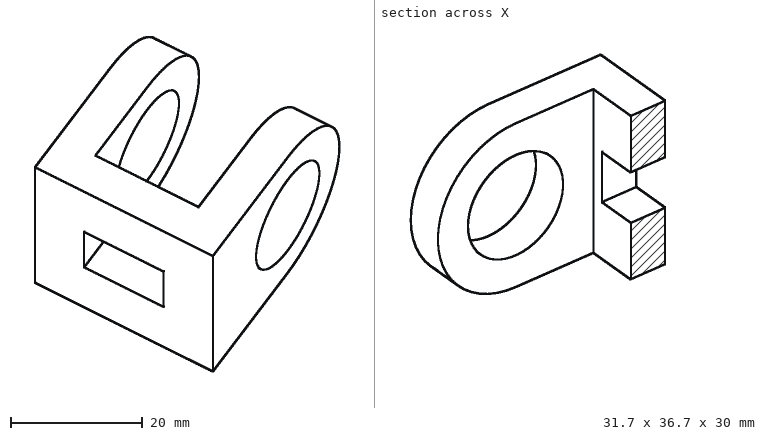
import cadquery as cq

width = 31.7
length = 36.67
height = 30.0

wall = 6.67
pin_diameter = 18.35
window_width = 14.15
window_height = 9.15

end_radius = height / 2
pin_y = length - end_radius
gap = width - 2 * wall


def rounded_block():
    """Solid block with a half-round end, centred on X and Z, front face at Y = 0."""
    return (
        cq.Workplane("YZ")
        .moveTo(0, -end_radius)
        .lineTo(pin_y, -end_radius)
        .threePointArc((length, 0), (pin_y, end_radius))
        .lineTo(0, end_radius)
        .close()
        .extrude(width / 2, both=True)
    )


def arm_gap():
    """Space between the arms, open at the rounded end."""
    return cq.Workplane("XY").box(gap, length, height, centered=(True, False, True)).translate((0, wall, 0))


def pin_hole():
    """Cross hole through both arms, concentric with the rounded end."""
    return cq.Workplane("YZ").center(pin_y, 0).circle(pin_diameter / 2).extrude(width / 2, both=True)


def web_window():
    """Rectangular opening through the web."""
    return cq.Workplane("XY").box(window_width, wall, window_height, centered=(True, False, True))


result = rounded_block().cut(arm_gap()).cut(pin_hole()).cut(web_window())